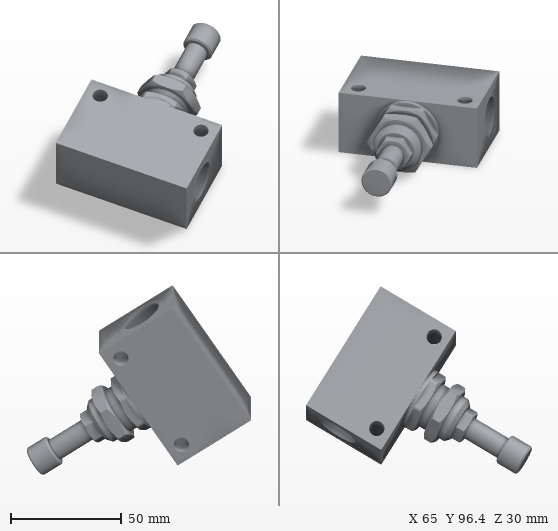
import cadquery as cq
import math

body_width = 65.0
body_depth = 40.0
body_height = 30.0

mount_hole_diameter = 6.9
mount_hole_spacing = 50.0
mount_hole_setback = 6.9

port_y = 17.0
port_bore_diameter = 18.7
port_bore_depth = 19.3
seal_recess_diameter = 27.0
seal_recess_depth = 0.1

flange_diameter = 29.5
flange_thickness = 2.0
large_across_flats = 26.0
flange_hex_thickness = 4.3

barrel_diameter = 22.0
barrel_length = 22.1
barrel_chamfer = 2.0
panel_nut_gap = 4.5
panel_nut_thickness = 6.0

lock_nut_across_flats = 14.3
lock_nut_diameter = 16.2
lock_nut_thickness = 4.9

overall_length = 96.4
rod_diameter = 10.3
neck_diameter = 9.3
neck_length = 0.5
knob_diameter = 14.4
knob_length = 10.9
knob_chamfer = 0.7

hex_chamfer_angle = math.radians(30)

flange_hex_start = body_depth + flange_thickness
panel_nut_start = flange_hex_start + flange_hex_thickness + panel_nut_gap
barrel_end = body_depth + barrel_length
knob_start = overall_length - knob_length
neck_start = knob_start - neck_length


def spindle_disc(start, length, diameter):
    """Cylinder on the spindle axis, from Y = start to start + length."""
    plane = cq.Workplane("XZ", origin=(0, start, 0))
    return plane.circle(diameter / 2).extrude(-length)


def corner_size(across_flats):
    """Size across the corners of a regular hexagon."""
    return across_flats / math.cos(math.pi / 6)


def hexagon(start, length, across_flats, corner_diameter, chamfer_both_ends):
    """Hexagon with flats facing +Z and -Z, its corners limited to a diameter and chamfered."""
    plane = cq.Workplane("XZ", origin=(0, start, 0))
    prism = plane.polygon(6, corner_size(across_flats)).extrude(-length)

    end = start + length
    corner_radius = corner_diameter / 2
    end_radius = across_flats / 2
    chamfer_rise = (corner_radius - end_radius) * math.tan(hex_chamfer_angle)
    outline = [(0, start)]
    if chamfer_both_ends:
        outline += [(end_radius, start), (corner_radius, start + chamfer_rise)]
    else:
        outline += [(corner_radius, start)]
    outline += [(corner_radius, end - chamfer_rise), (end_radius, end), (0, end)]
    turned = cq.Workplane("XY").polyline(outline).close().revolve(360, (0, 0), (0, 1))
    return prism.intersect(turned)


def valve_body():
    block = cq.Workplane("XY").box(body_width, body_depth, body_height)
    block = block.translate((0, body_depth / 2, 0))

    hole_y = body_depth - mount_hole_setback
    hole_places = [(side * mount_hole_spacing / 2, hole_y) for side in (-1, 1)]
    holes = (
        cq.Workplane("XY", origin=(0, 0, -body_height / 2))
        .pushPoints(hole_places)
        .circle(mount_hole_diameter / 2)
        .extrude(body_height)
    )
    block = block.cut(holes)

    for side in (-1, 1):
        face = cq.Workplane("YZ", origin=(side * body_width / 2, port_y, 0))
        block = block.cut(face.circle(port_bore_diameter / 2).extrude(-side * port_bore_depth))
        block = block.cut(face.circle(seal_recess_diameter / 2).extrude(-side * seal_recess_depth))
    return block


def flange():
    disc = spindle_disc(body_depth, flange_thickness, flange_diameter)
    return disc.union(
        hexagon(flange_hex_start, flange_hex_thickness, large_across_flats, flange_diameter, False)
    )


def barrel():
    thread = spindle_disc(body_depth, barrel_length, barrel_diameter)
    return thread.faces(">Y").chamfer(barrel_chamfer)


def panel_nut():
    across_corners = corner_size(large_across_flats)
    return hexagon(panel_nut_start, panel_nut_thickness, large_across_flats, across_corners, True)


def lock_nut():
    return hexagon(barrel_end, lock_nut_thickness, lock_nut_across_flats, lock_nut_diameter, True)


def spindle():
    rod = spindle_disc(barrel_end, neck_start - barrel_end, rod_diameter)
    neck = spindle_disc(neck_start, neck_length, neck_diameter)
    knob = spindle_disc(knob_start, knob_length, knob_diameter)
    knob = knob.faces("<Y or >Y").chamfer(knob_chamfer)
    return rod.union(neck).union(knob)


result = valve_body()
for piece in (flange(), barrel(), panel_nut(), lock_nut(), spindle()):
    result = result.union(piece)